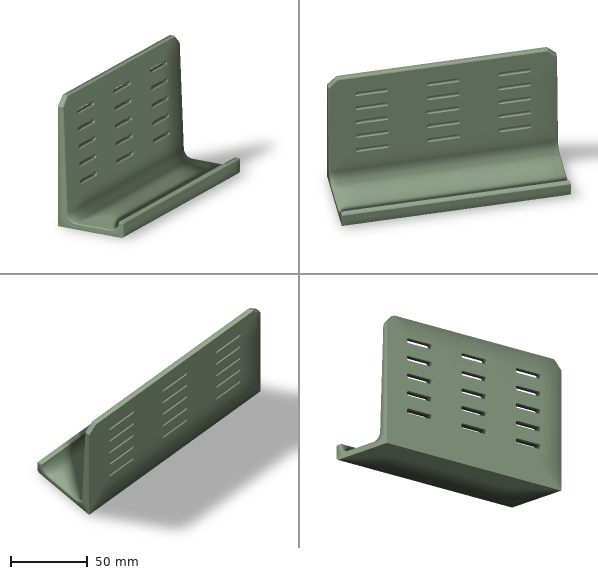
import cadquery as cq
import math

DEPTH = 49.4
LENGTH = 152.4
HEIGHT = 88.8

FLOOR_THICKNESS = 4.1
WALL_TOP_THICKNESS = 3.8
WALL_FOOT_THICKNESS = 7.2
LIP_HEIGHT = 10.5
LIP_THICKNESS = 3.7
TROUGH_RADIUS = LIP_HEIGHT - FLOOR_THICKNESS
LIP_BOTTOM_CHAMFER = 1.0

CORNER_CHAMFER = 6.2
EDGE_CHAMFER = 0.5
TOLERANCE = 0.002

SLOT_LENGTH = 22.3
SLOT_HEIGHT = 3.2
SLOT_COLUMNS = 3
SLOT_ROWS = 5
COLUMN_PITCH = 47.5
ROW_PITCH = 12.0
SLOT_MID_Z = 50.1


def make_profile_body():
    """Tapered wall, floor with a rounded trough and a low front lip."""
    slope = (WALL_FOOT_THICKNESS - WALL_TOP_THICKNESS) / (HEIGHT - LIP_HEIGHT)
    lean = math.atan(slope)
    arc_center_x = WALL_FOOT_THICKNESS + TROUGH_RADIUS / math.cos(lean)

    def wall_arc_point(angle):
        return (
            arc_center_x + TROUGH_RADIUS * math.cos(angle),
            LIP_HEIGHT + TROUGH_RADIUS * math.sin(angle),
        )

    arc_start = math.pi + lean
    arc_end = 1.5 * math.pi
    lip_x = DEPTH - LIP_THICKNESS
    lip_arc_center_x = lip_x - TROUGH_RADIUS
    lip_arc_middle = (
        lip_arc_center_x + TROUGH_RADIUS * math.sin(math.pi / 4),
        LIP_HEIGHT - TROUGH_RADIUS * math.cos(math.pi / 4),
    )
    return (
        cq.Workplane("XZ")
        .moveTo(0, 0)
        .lineTo(0, HEIGHT)
        .lineTo(WALL_TOP_THICKNESS, HEIGHT)
        .lineTo(*wall_arc_point(arc_start))
        .threePointArc(wall_arc_point((arc_start + arc_end) / 2), wall_arc_point(arc_end))
        .lineTo(lip_arc_center_x, FLOOR_THICKNESS)
        .threePointArc(lip_arc_middle, (lip_x, LIP_HEIGHT))
        .lineTo(DEPTH, LIP_HEIGHT)
        .lineTo(DEPTH, LIP_BOTTOM_CHAMFER)
        .lineTo(DEPTH - LIP_BOTTOM_CHAMFER, 0)
        .close()
        .extrude(LENGTH / 2, both=True)
    )


def cut_top_corners(body):
    """Bevel both upper corners of the wall."""
    for side in (-1, 1):
        end_y = side * LENGTH / 2
        corner = (
            cq.Workplane("YZ")
            .moveTo(end_y, HEIGHT)
            .lineTo(end_y - side * CORNER_CHAMFER, HEIGHT)
            .lineTo(end_y, HEIGHT - CORNER_CHAMFER)
            .close()
            .extrude(DEPTH)
        )
        body = body.cut(corner)
    return body


def is_inner_rim(edge):
    """True for edges bounding the inner wall, trough and lip top."""
    box = edge.BoundingBox()
    middle = edge.Center()
    at_end = box.ymin > LENGTH / 2 - TOLERANCE or box.ymax < -LENGTH / 2 + TOLERANCE
    inner_end = at_end and box.xmin > TOLERANCE and box.zmin > FLOOR_THICKNESS - TOLERANCE
    above_corners = box.zmin > HEIGHT - CORNER_CHAMFER - TOLERANCE
    wall_top = box.xmin > WALL_TOP_THICKNESS - TOLERANCE and above_corners
    lip_outer = box.xmin > DEPTH - TOLERANCE and abs(middle.z - LIP_HEIGHT) < TOLERANCE
    return inner_end or wall_top or lip_outer


def chamfer_inner_rim(body):
    rim = [edge for edge in body.edges().vals() if is_inner_rim(edge)]
    return body.newObject(rim).chamfer(EDGE_CHAMFER)


def cut_slots(body):
    slots = (
        cq.Workplane("YZ")
        .center(0, SLOT_MID_Z)
        .rarray(COLUMN_PITCH, ROW_PITCH, SLOT_COLUMNS, SLOT_ROWS)
        .slot2D(SLOT_LENGTH, SLOT_HEIGHT)
        .extrude(DEPTH)
    )
    return body.cut(slots)


bracket = make_profile_body()
bracket = cut_top_corners(bracket)
bracket = chamfer_inner_rim(bracket)
result = cut_slots(bracket)